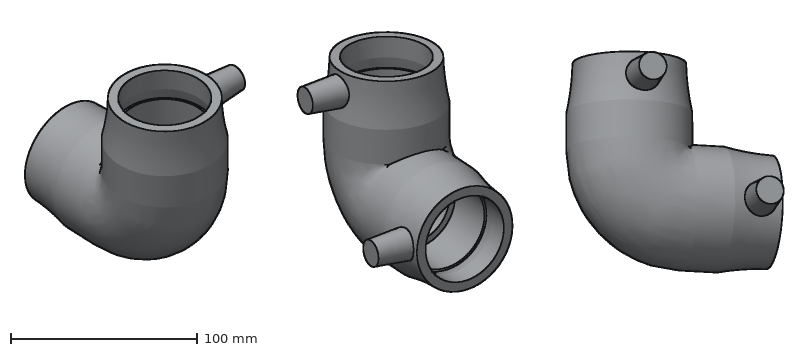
import cadquery as cq
import math

body_radius = 34.0
overall_size = 111.4
leg_length = overall_size - body_radius
bend_radius = 29.4

mouth_radius = 30.6
taper_length = 27.3
taper_sag = 0.7

bore_radius = 21.22
socket_radius = 25.01
socket_depth = leg_length - bend_radius

groove_start = 12.5
groove_end = 19.2
groove_depth = 1.3

terminal_inset = 12.5
terminal_tip_y = 52.0
terminal_tip_radius = 7.63
terminal_root_y = 27.8
terminal_half_angle = 4.7


def revolved_leg(profile):
    """Spin an XZ half profile about the Z axis."""
    return profile.close().revolve(360, (0, 0, 0), (0, 1, 0))


def leg_body():
    drop = body_radius - mouth_radius
    chord = math.hypot(drop, taper_length)
    arc_mid = (
        (body_radius + mouth_radius) / 2 - taper_sag * taper_length / chord,
        leg_length - taper_length / 2 - taper_sag * drop / chord,
    )
    profile = (
        cq.Workplane("XZ")
        .moveTo(0, bend_radius)
        .lineTo(body_radius, bend_radius)
        .lineTo(body_radius, leg_length - taper_length)
        .threePointArc(arc_mid, (mouth_radius, leg_length))
        .lineTo(0, leg_length)
    )
    return revolved_leg(profile)


def leg_socket():
    profile = (
        cq.Workplane("XZ")
        .moveTo(0, leg_length)
        .lineTo(socket_radius, leg_length)
        .lineTo(socket_radius, leg_length - groove_start)
        .lineTo(socket_radius + groove_depth, leg_length - groove_end)
        .lineTo(socket_radius, leg_length - groove_end)
        .lineTo(socket_radius, leg_length - socket_depth)
        .lineTo(0, leg_length - socket_depth)
    )
    return revolved_leg(profile)


def terminal():
    taper_growth = (terminal_tip_y - terminal_root_y) * math.tan(math.radians(terminal_half_angle))
    root_radius = terminal_tip_radius + taper_growth
    return cq.Workplane("XY").add(
        cq.Solid.makeCone(
            root_radius,
            terminal_tip_radius,
            terminal_tip_y - terminal_root_y,
            cq.Vector(0, terminal_root_y, leg_length - terminal_inset),
            cq.Vector(0, 1, 0),
        )
    )


def on_horizontal_leg(shape):
    """Turn a shape on the +Z leg onto the -X leg."""
    return shape.rotate((0, 0, 0), (0, 1, 0), -90)


def revolved_bend(section):
    """Sweep a section at the foot of the +Z leg a quarter turn round to the -X leg."""
    return section.revolve(90, (-bend_radius, 0, 0), (-bend_radius, 1, 0))


def bend_body():
    """Quarter torus, its section cut off at the bend axis, as a spline surface with tight bounds."""
    chord_half = math.sqrt(body_radius**2 - bend_radius**2)
    section = (
        cq.Workplane("XY", origin=(0, 0, bend_radius))
        .moveTo(-bend_radius, -chord_half)
        .threePointArc((body_radius, 0), (-bend_radius, chord_half))
        .close()
    )
    return cq.Workplane(revolved_bend(section).val().toNURBS())


def bend_bore():
    return revolved_bend(cq.Workplane("XY", origin=(0, 0, bend_radius)).circle(bore_radius))


body = bend_body()
for leg_part in (leg_body(), terminal()):
    body = body.union(leg_part).union(on_horizontal_leg(leg_part))

socket = leg_socket()
result = body.cut(bend_bore()).cut(socket).cut(on_horizontal_leg(socket))